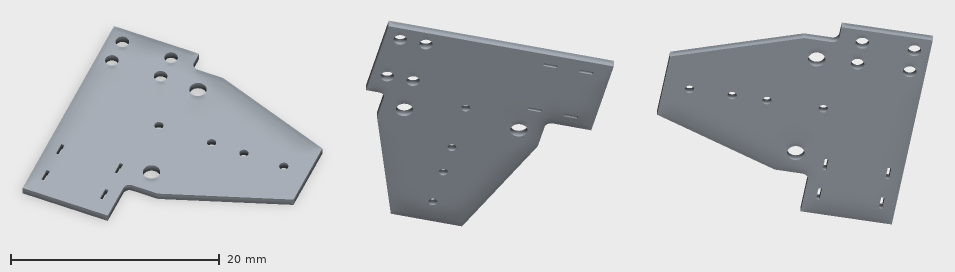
import cadquery as cq

length = 24.43
width = 22.23
thickness = 0.78

tongue_y = 1.27
shoulder_x = 8.87
taper_x = 12.2
tongue_half_width = 7.95
tip_half_width = 3.52
corner_radius = 0.64

axis_hole_diameter = 0.88
axis_hole_xs = (8.9, 14.4, 17.75, 21.91)
side_hole_diameter = 1.65
side_hole_x = 10.55
side_hole_spacing = 11.3
corner_hole_diameter = 1.3
corner_hole_center = (4.05, 8.33)
corner_hole_spacing = (5.08, 2.55)

slot_width = 0.35
slot_length = 1.3
slot_center = (4.45, -6.99)
slot_spacing = (6.1, 3.57)


def make_plate():
    """Wide end and tapered tongue, with rounded shoulder and taper corners."""
    half_width = width / 2
    tongue_top = tongue_y + tongue_half_width
    tongue_bottom = tongue_y - tongue_half_width
    outline = [
        (0, -half_width),
        (shoulder_x, -half_width),
        (shoulder_x, tongue_bottom),
        (taper_x, tongue_bottom),
        (length, tongue_y - tip_half_width),
        (length, tongue_y + tip_half_width),
        (taper_x, tongue_top),
        (shoulder_x, tongue_top),
        (shoulder_x, half_width),
        (0, half_width),
    ]
    plate = cq.Workplane("XY").polyline(outline).close().extrude(thickness)
    edge_overlap = 0.25
    rounded_edges = cq.selectors.BoxSelector(
        (shoulder_x - edge_overlap, tongue_bottom - edge_overlap, 0),
        (taper_x + edge_overlap, tongue_top + edge_overlap, thickness),
    )
    return plate.edges("|Z").edges(rounded_edges).fillet(corner_radius)


def grid_points(center, spacing):
    """Corners of a rectangle with the given center and side lengths."""
    return [
        (center[0] + side_x * spacing[0] / 2, center[1] + side_y * spacing[1] / 2)
        for side_x in (-1, 1)
        for side_y in (-1, 1)
    ]


def round_cutters(points, diameter):
    return cq.Workplane("XY").pushPoints(points).circle(diameter / 2).extrude(thickness)


def slot_cutters(points):
    return cq.Workplane("XY").pushPoints(points).rect(slot_width, slot_length).extrude(thickness)


axis_holes = [(x, tongue_y) for x in axis_hole_xs]
side_holes = [(side_hole_x, tongue_y + side * side_hole_spacing / 2) for side in (-1, 1)]
corner_holes = grid_points(corner_hole_center, corner_hole_spacing)
slots = grid_points(slot_center, slot_spacing)

result = (
    make_plate()
    .cut(round_cutters(axis_holes, axis_hole_diameter))
    .cut(round_cutters(side_holes, side_hole_diameter))
    .cut(round_cutters(corner_holes, corner_hole_diameter))
    .cut(slot_cutters(slots))
)